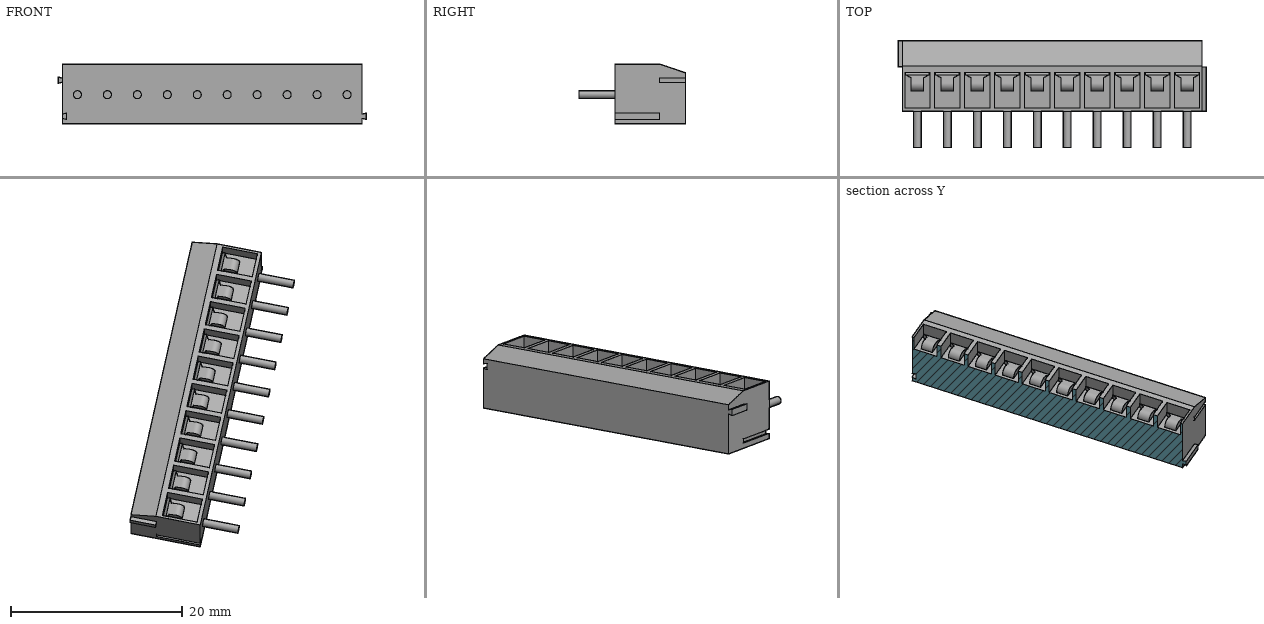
import cadquery as cq
import math


total_length = 36
joint_depth = 0.5
body_length = total_length - 2 * joint_depth
body_depth = 8.28
body_height = 7.0
bevel_depth = 3.0
bevel_drop = 1.0

pole_count = 10
pitch = body_length / pole_count
pin_diameter = 0.95
pin_length = 4.2
pin_z = 3.42

pocket_width = 2.95
pocket_length = 4.15
pocket_depth = 1.8
front_wall = 0.45
pocket_back = front_wall + pocket_length
pocket_floor = body_height - pocket_depth

nose_radius = 0.75
nose_y = 3.15
nose_z = pocket_floor
ramp_angle = math.radians(10)
ramp_run = 0.97
tail_angle = math.radians(45)
guard_width = 1.45
guard_back_width = 2.75
flare_start = 3.92
flare_end = 4.3

joint_root = 0.5
joint_tip = 0.75
front_joint_length = 5.22
rear_joint_length = body_depth - front_joint_length
front_joint_z = 0.9
rear_joint_z = 5.1


def make_body():
    return (
        cq.Workplane("YZ", origin=(-body_length / 2, 0, 0))
        .lineTo(body_depth, 0)
        .lineTo(body_depth, body_height - bevel_drop)
        .lineTo(body_depth - bevel_depth, body_height)
        .lineTo(0, body_height)
        .close()
        .extrude(body_length)
    )


def make_pocket():
    return (
        cq.Workplane("XY", origin=(0, front_wall + pocket_length / 2, pocket_floor))
        .rect(pocket_width, pocket_length)
        .extrude(pocket_depth)
    )


def make_guard():
    crown_angle = (ramp_angle - math.pi / 2) / 2
    crown_y = nose_y + nose_radius * math.sin(crown_angle)
    crown_z = nose_z + nose_radius * math.cos(crown_angle)
    ramp_top_y = nose_y + nose_radius * math.sin(ramp_angle)
    ramp_top_z = nose_z + nose_radius * math.cos(ramp_angle)
    ramp_end_y = ramp_top_y + ramp_run
    ramp_end_z = ramp_top_z - ramp_run * math.tan(ramp_angle)
    tail_z = ramp_end_z - (pocket_back - ramp_end_y) * math.tan(tail_angle)
    profile = (
        cq.Workplane("YZ", origin=(-guard_back_width / 2, 0, 0))
        .moveTo(nose_y - nose_radius, pocket_floor)
        .threePointArc((crown_y, crown_z), (ramp_top_y, ramp_top_z))
        .lineTo(ramp_end_y, ramp_end_z)
        .lineTo(pocket_back, tail_z)
        .lineTo(pocket_back, pocket_floor)
        .close()
        .extrude(guard_back_width)
    )
    right_side = [
        (guard_width / 2, 0),
        (guard_width / 2, flare_start),
        (guard_back_width / 2, flare_end),
        (guard_back_width / 2, pocket_back),
    ]
    left_side = [(-x, y) for x, y in reversed(right_side)]
    outline = cq.Workplane("XY").polyline(right_side + left_side).close().extrude(body_height)
    return profile.intersect(outline)


def make_pin():
    return (
        cq.Workplane("XZ", origin=(0, 0, pin_z))
        .circle(pin_diameter / 2)
        .extrude(pin_length)
    )


def make_joint(root_x, y_start, length, z):
    return (
        cq.Workplane("XZ", origin=(root_x, y_start, z))
        .moveTo(0, -joint_root / 2)
        .lineTo(joint_depth, -joint_tip / 2)
        .lineTo(joint_depth, joint_tip / 2)
        .lineTo(0, joint_root / 2)
        .close()
        .extrude(-length)
    )


result = make_body()

for pole in range(pole_count):
    pole_x = (pole - (pole_count - 1) / 2) * pitch
    result = result.cut(make_pocket().translate((pole_x, 0, 0)))
    result = result.union(make_guard().translate((pole_x, 0, 0)))
    result = result.union(make_pin().translate((pole_x, 0, 0)))

right_tab = make_joint(body_length / 2, 0, front_joint_length, front_joint_z)
left_tab = make_joint(body_length / 2, front_joint_length, rear_joint_length, rear_joint_z).mirror("YZ")
result = result.union(right_tab).union(left_tab)
result = result.cut(right_tab.translate((-body_length, 0, 0)))
result = result.cut(left_tab.translate((body_length, 0, 0)))